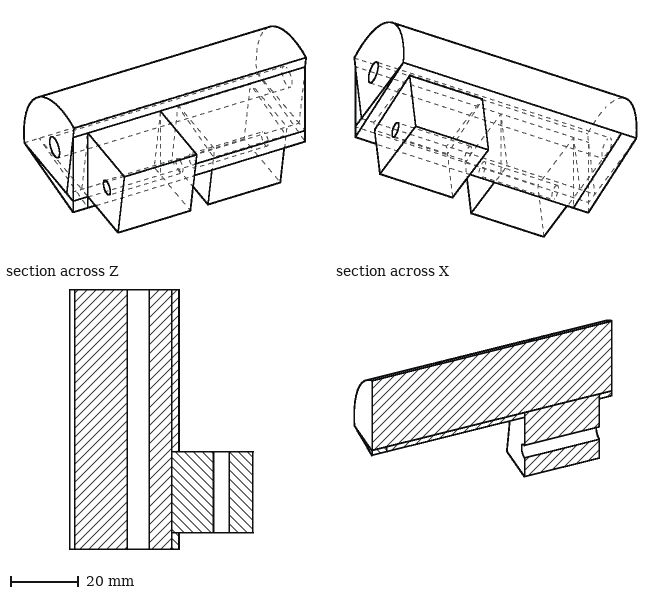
import cadquery as cq
import math

length = 77.0
cap_flat = 28.0
tilt = math.radians(10)
arc_radius = 25.4
cap_hole_x = -7.9
cap_hole_z = 11.85
cap_hole_diameter = 6.5

block_side = 24.0
block_hole_diameter = 4.5
hole_reach = 14.55
side_block_front = 4.9
lower_block_back_gap = 4.0

block_lean = block_side * math.sin(tilt)
block_height = block_side * math.cos(tilt)
side_block_back = side_block_front + block_side
lower_block_front = length - lower_block_back_gap - block_side


def extrude_between(points, front, back):
    """Prism with a polygonal XZ section between two Y positions."""
    plane = cq.Workplane("XZ", origin=(0, front, 0))
    return plane.polyline(points).close().extrude(front - back)


def drill_y(body, x, z, diameter):
    """Cut a round hole along the full length in Y."""
    cutter = cq.Workplane("XZ").center(x, z).circle(diameter / 2).extrude(-length)
    return body.cut(cutter)


def make_cap():
    """Long sector-shaped cap with an off-centre arc and a lengthwise hole."""
    left = (-cap_flat, 0)
    tip = (cap_flat * math.sin(tilt), cap_flat * math.cos(tilt))
    half_angle = (math.pi / 2 + tilt) / 2
    half_chord = cap_flat * math.sin(half_angle)
    chord_distance = cap_flat * math.cos(half_angle)
    arc_rise = arc_radius - math.sqrt(arc_radius**2 - half_chord**2)
    crown_distance = chord_distance + arc_rise
    crown = (-crown_distance * math.cos(half_angle), crown_distance * math.sin(half_angle))
    profile = cq.Workplane("XZ").moveTo(0, 0).lineTo(*left).threePointArc(crown, tip).close()
    return drill_y(profile.extrude(-length), cap_hole_x, cap_hole_z, cap_hole_diameter)


def make_block(corner_x, corner_z, hole_x, hole_z, front):
    """Rhombic block with its lower left corner at the given place."""
    points = [
        (corner_x, corner_z),
        (corner_x + block_side, corner_z),
        (corner_x + block_side + block_lean, corner_z + block_height),
        (corner_x + block_lean, corner_z + block_height),
    ]
    block = extrude_between(points, front, front + block_side)
    return drill_y(block, hole_x, hole_z, block_hole_diameter)


def make_side_block():
    """Block that stands against the slanted face of the cap."""
    hole_x = hole_reach + block_lean / 2
    return make_block(0, 0, hole_x, block_height / 2, side_block_front)


def make_lower_block():
    """Block that hangs from the underside of the cap."""
    hole_x = -block_side / 2 - hole_reach * math.sin(tilt)
    hole_z = -hole_reach * math.cos(tilt)
    corner_x = -block_side - block_lean
    return make_block(corner_x, -block_height, hole_x, hole_z, lower_block_front)


def make_side_wedge(front, back):
    """Wedge filling the slanted face of the cap out to a vertical plane."""
    points = [(0, 0), (block_lean, 0), (block_lean, block_height)]
    return extrude_between(points, front, back)


def make_lower_wedge(front, back):
    """Wedge below the cap, deepest under the outer face of the side wedges."""
    points = [(-cap_flat, 0), (block_lean, 0), (block_lean, -block_lean)]
    return extrude_between(points, front, back)


cap = make_cap()
side_block = make_side_block()
lower_block = make_lower_block()

side_wedges = [
    make_side_wedge(front, back)
    for front, back in [(0, side_block_front), (side_block_back, length)]
]

front_lower_wedge = make_lower_wedge(0, side_block_front)
long_lower_wedge = make_lower_wedge(side_block_front, length).cut(lower_block)

result = cq.Compound.makeCompound([
    cap.val(),
    side_block.val(),
    lower_block.val(),
    *[wedge.val() for wedge in side_wedges],
    front_lower_wedge.val(),
    long_lower_wedge.val(),
])